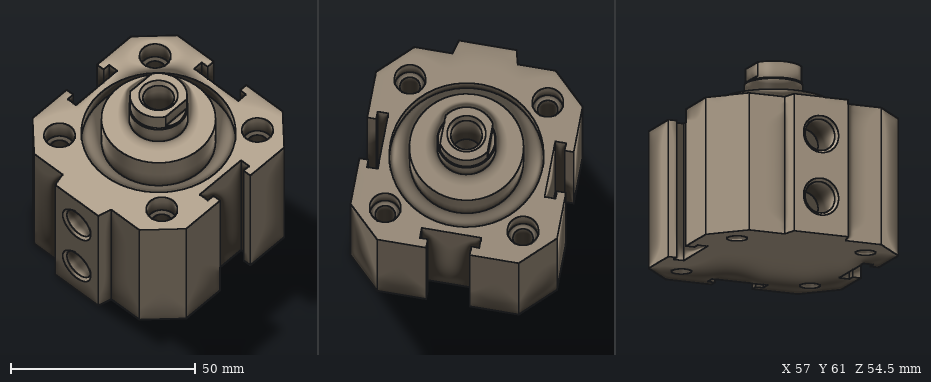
import cadquery as cq
import math

BLOCK_WIDTH = 57.0
BLOCK_HEIGHT = 38.5
CORNER_CUT = 8.95
TOTAL_DEPTH = 61.0

BOSS_ROOT_WIDTH = 18.05
BOSS_TIP_WIDTH = 16.0

SLOT_MOUTH_WIDTH = 12.0
SLOT_INNER_WIDTH = 16.4
SLOT_LIP = 2.5
SLOT_DEPTH = 5.5

RECESS_DIAMETER = 41.95
RECESS_DEPTH = 3.8
COLLAR_DIAMETER = 31.0
COLLAR_HEIGHT = 6.0

BOLT_SPACING = 38.0
BOLT_DIAMETER = 5.5
COUNTERBORE_DIAMETER = 8.5
COUNTERBORE_DEPTH = 5.5

PORT_DIAMETER = 8.8
PORT_MOUTH_DIAMETER = 10.4
PORT_DEPTH = 12.2
PORT_HEIGHTS = (10.45, 28.0)

ROD_DIAMETER = 16.0
ROD_NECK_DIAMETER = 15.5
ROD_ABOVE_COLLAR = 10.0
NECK_LENGTH = 4.6
NECK_TAPER_LENGTH = 0.4

FLAT_SPACING = 13.05
FLAT_LENGTH = 3.9
FLAT_RUNOUT_ANGLE = 30.0

ROD_HOLE_DIAMETER = 8.5
ROD_HOLE_MOUTH_DIAMETER = 10.5
ROD_HOLE_DEPTH = 15.0
DRILL_POINT_ANGLE = 118.0

HALF_WIDTH = BLOCK_WIDTH / 2
BOSS_TIP_Y = HALF_WIDTH - TOTAL_DEPTH
RECESS_FLOOR_Z = BLOCK_HEIGHT - RECESS_DEPTH
COLLAR_TOP_Z = BLOCK_HEIGHT + COLLAR_HEIGHT
ROD_TOP_Z = COLLAR_TOP_Z + ROD_ABOVE_COLLAR


def cylinder(diameter, bottom_z, top_z):
    """Vertical cylinder on the main axis."""
    return cq.Workplane("XY").workplane(offset=bottom_z).circle(diameter / 2).extrude(top_z - bottom_z)


def port_boss():
    return (
        cq.Workplane("XY")
        .moveTo(-BOSS_ROOT_WIDTH / 2, -HALF_WIDTH)
        .lineTo(-BOSS_TIP_WIDTH / 2, BOSS_TIP_Y)
        .lineTo(BOSS_TIP_WIDTH / 2, BOSS_TIP_Y)
        .lineTo(BOSS_ROOT_WIDTH / 2, -HALF_WIDTH)
        .close()
        .extrude(BLOCK_HEIGHT)
    )


def t_slot(angle):
    """T-slot cutter for the +X side, turned about Z by the given angle."""
    mouth = cq.Workplane("XY").box(SLOT_DEPTH, SLOT_MOUTH_WIDTH, BLOCK_HEIGHT, centered=(False, True, False))
    inner = cq.Workplane("XY").box(
        SLOT_DEPTH - SLOT_LIP, SLOT_INNER_WIDTH, BLOCK_HEIGHT, centered=(False, True, False)
    )
    cutter = mouth.union(inner).translate((HALF_WIDTH - SLOT_DEPTH, 0, 0))
    return cutter.rotate((0, 0, 0), (0, 0, 1), angle)


def port(height):
    """Blind port drilled toward +Y, with a 45 degree chamfer at its mouth."""
    radius = PORT_DIAMETER / 2
    mouth_radius = PORT_MOUTH_DIAMETER / 2
    return (
        cq.Workplane("XY")
        .moveTo(0, BOSS_TIP_Y)
        .lineTo(mouth_radius, BOSS_TIP_Y)
        .lineTo(radius, BOSS_TIP_Y + mouth_radius - radius)
        .lineTo(radius, BOSS_TIP_Y + PORT_DEPTH)
        .lineTo(0, BOSS_TIP_Y + PORT_DEPTH)
        .close()
        .revolve(360, (0, 0, 0), (0, 1, 0))
        .translate((0, 0, height))
    )


def make_housing():
    block = (
        cq.Workplane("XY")
        .rect(BLOCK_WIDTH, BLOCK_WIDTH)
        .extrude(BLOCK_HEIGHT)
        .edges("|Z")
        .chamfer(CORNER_CUT)
    )
    body = block.union(port_boss())
    for angle in (0, 90, 180):
        body = body.cut(t_slot(angle))
    body = (
        body.faces(">Z")
        .workplane(origin=(0, 0, BLOCK_HEIGHT))
        .rect(BOLT_SPACING, BOLT_SPACING, forConstruction=True)
        .vertices()
        .cboreHole(BOLT_DIAMETER, COUNTERBORE_DIAMETER, COUNTERBORE_DEPTH)
    )
    body = body.cut(cylinder(RECESS_DIAMETER, RECESS_FLOOR_Z, BLOCK_HEIGHT))
    body = body.union(cylinder(COLLAR_DIAMETER, RECESS_FLOOR_Z, COLLAR_TOP_Z))
    body = body.cut(cylinder(ROD_DIAMETER, RECESS_FLOOR_Z, COLLAR_TOP_Z))
    for height in PORT_HEIGHTS:
        body = body.cut(port(height))
    return body


def rod_blank():
    """Solid of revolution: shank, short taper and slightly thinner neck."""
    neck_bottom_z = ROD_TOP_Z - NECK_LENGTH
    return (
        cq.Workplane("XZ")
        .moveTo(0, RECESS_FLOOR_Z)
        .lineTo(ROD_DIAMETER / 2, RECESS_FLOOR_Z)
        .lineTo(ROD_DIAMETER / 2, neck_bottom_z - NECK_TAPER_LENGTH)
        .lineTo(ROD_NECK_DIAMETER / 2, neck_bottom_z)
        .lineTo(ROD_NECK_DIAMETER / 2, ROD_TOP_Z)
        .lineTo(0, ROD_TOP_Z)
        .close()
        .revolve(360, (0, 0, 0), (0, 1, 0))
    )


def wrench_flat():
    """Cutter for the flat on the +X side; its bottom slopes down and outward."""
    inner_x = FLAT_SPACING / 2
    outer_x = ROD_DIAMETER
    bottom_z = ROD_TOP_Z - FLAT_LENGTH
    runout_drop = (outer_x - inner_x) * math.tan(math.radians(FLAT_RUNOUT_ANGLE))
    return (
        cq.Workplane("XZ")
        .moveTo(inner_x, ROD_TOP_Z)
        .lineTo(inner_x, bottom_z)
        .lineTo(outer_x, bottom_z - runout_drop)
        .lineTo(outer_x, ROD_TOP_Z)
        .close()
        .extrude(ROD_DIAMETER / 2, both=True)
    )


def rod_hole():
    """Blind drilled hole with a 45 degree chamfered mouth and a conical bottom."""
    radius = ROD_HOLE_DIAMETER / 2
    mouth_radius = ROD_HOLE_MOUTH_DIAMETER / 2
    shoulder_z = ROD_TOP_Z - ROD_HOLE_DEPTH
    point_length = radius / math.tan(math.radians(DRILL_POINT_ANGLE / 2))
    return (
        cq.Workplane("XZ")
        .moveTo(0, ROD_TOP_Z)
        .lineTo(mouth_radius, ROD_TOP_Z)
        .lineTo(radius, ROD_TOP_Z - mouth_radius + radius)
        .lineTo(radius, shoulder_z)
        .lineTo(0, shoulder_z - point_length)
        .close()
        .revolve(360, (0, 0, 0), (0, 1, 0))
    )


def make_rod():
    flat = wrench_flat()
    return rod_blank().cut(flat).cut(flat.mirror("YZ")).cut(rod_hole())


housing = make_housing()
rod = make_rod()
result = cq.Compound.makeCompound([housing.solids().val(), rod.solids().val()])